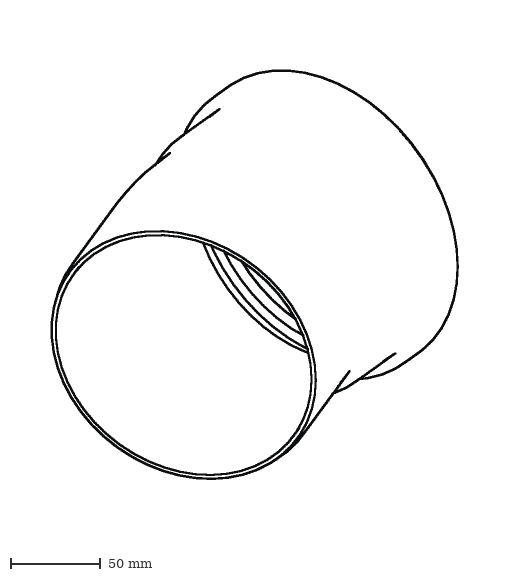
import cadquery as cq

BEND_ANGLE = 15.0
WALL = 4.0
SPIGOT_RADIUS = 80.0
SPIGOT_LENGTH = 75.8
SPIGOT_CHAMFER_LENGTH = 6.3
SPIGOT_CHAMFER_DEPTH = 1.4
PIVOT_OFFSET = 80.3

COLLAR_END = 2.5
CONE_END = 17.2
BEAD_START = 54.7
BEAD_END = 74.8
SOCKET_LENGTH = 79.7

SOCKET_RADIUS = 84.0
BEAD_RADIUS = 182.7 / 2
BEAD_WALL = 3.5
BEAD_FILLET = 3.0
BEAD_ROOT_FILLET = 1.0
LIP_RADIUS = 168.2 / 2
LIP_BORE_RADIUS = 161.4 / 2


def turned(points):
    """Revolve a (radius, height) outline about the Y axis."""
    return cq.Workplane("XY").polyline(points).close().revolve(360, (0, 0, 0), (0, 1, 0))


def spigot_body():
    return turned([
        (0, 0),
        (SPIGOT_RADIUS - SPIGOT_CHAMFER_DEPTH, 0),
        (SPIGOT_RADIUS, SPIGOT_CHAMFER_LENGTH),
        (SPIGOT_RADIUS, SPIGOT_LENGTH),
        (0, SPIGOT_LENGTH),
    ])


def spigot_bore():
    return cq.Workplane("XZ").circle(SPIGOT_RADIUS - WALL).extrude(-SPIGOT_LENGTH)


def bend(radius):
    """Sweep a disc at the end of the spigot about the bend axis, towards +X."""
    return (
        cq.Workplane("XZ", origin=(0, SPIGOT_LENGTH, 0))
        .circle(radius)
        .revolve(BEND_ANGLE, (PIVOT_OFFSET, 2, 0), (PIVOT_OFFSET, 0, 0))
    )


def on_bend_end(body):
    """Move a body turned about Y from the origin to the tilted end of the bend."""
    return (
        body.translate((0, SPIGOT_LENGTH, 0))
        .rotate((PIVOT_OFFSET, SPIGOT_LENGTH, 0), (PIVOT_OFFSET, SPIGOT_LENGTH, 1), -BEND_ANGLE)
    )


def ring_edges(body, radius, station):
    """Select the circular edge of the given radius and station on a body turned about Y."""
    tolerance = 0.02
    return body.edges(cq.selectors.BoxSelector(
        (-radius - tolerance, station - tolerance, -radius - tolerance),
        (radius + tolerance, station + tolerance, radius + tolerance),
        boundingbox=True,
    )).edges(cq.selectors.RadiusNthSelector(-1))


def socket_body():
    body = turned([
        (0, 0),
        (SPIGOT_RADIUS, 0),
        (SPIGOT_RADIUS, COLLAR_END),
        (SOCKET_RADIUS, CONE_END),
        (SOCKET_RADIUS, BEAD_START),
        (BEAD_RADIUS, BEAD_START),
        (BEAD_RADIUS, BEAD_END),
        (LIP_RADIUS, BEAD_END),
        (LIP_RADIUS, SOCKET_LENGTH),
        (0, SOCKET_LENGTH),
    ])
    for station in (BEAD_START, BEAD_END):
        body = ring_edges(body, BEAD_RADIUS, station).fillet(BEAD_FILLET)
    body = ring_edges(body, SOCKET_RADIUS, BEAD_START).fillet(BEAD_ROOT_FILLET)
    return ring_edges(body, LIP_RADIUS, BEAD_END).fillet(BEAD_ROOT_FILLET)


def socket_bore():
    groove_radius = BEAD_RADIUS - BEAD_WALL
    return turned([
        (0, 0),
        (SPIGOT_RADIUS - WALL, 0),
        (SPIGOT_RADIUS - WALL, COLLAR_END),
        (SOCKET_RADIUS - WALL, CONE_END),
        (SOCKET_RADIUS - WALL, BEAD_START + BEAD_WALL),
        (groove_radius, BEAD_START + BEAD_WALL),
        (groove_radius, BEAD_END - BEAD_WALL),
        (LIP_BORE_RADIUS, BEAD_END - BEAD_WALL),
        (LIP_BORE_RADIUS, SOCKET_LENGTH),
        (0, SOCKET_LENGTH),
    ])


outside = spigot_body().union(bend(SPIGOT_RADIUS)).union(on_bend_end(socket_body()))
result = (
    outside
    .cut(spigot_bore())
    .cut(bend(SPIGOT_RADIUS - WALL))
    .cut(on_bend_end(socket_bore()))
)